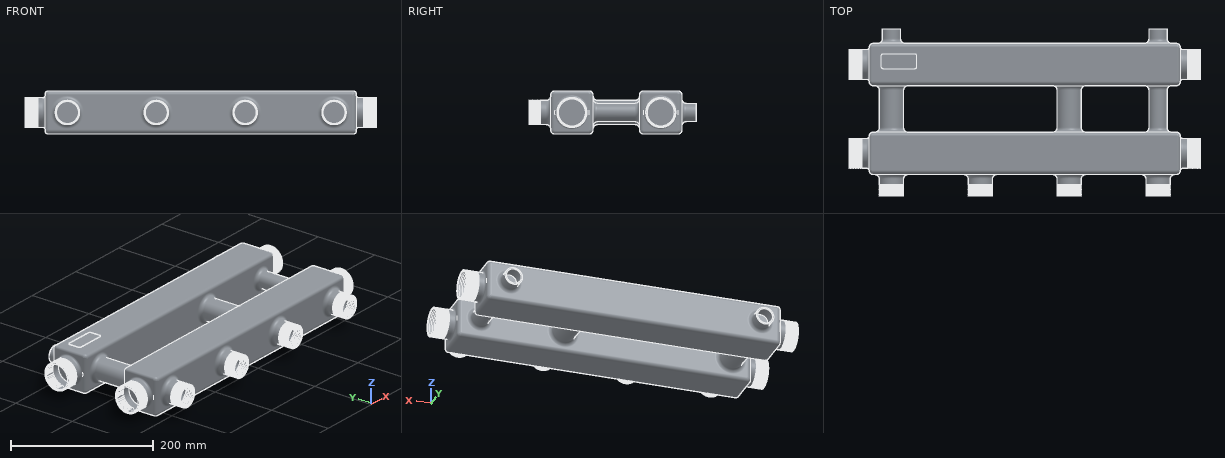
import cadquery as cq
import math

overall_length = 495.0
box_length = 438.0
box_width = 60.0
box_height = 61.0
side_edge_radius = 6.0
cross_edge_radius = 4.5
header_spacing = 125.0
front_header_y = 0.0
rear_header_y = front_header_y + header_spacing

end_pipe_diameter = 42.4
end_pipe_bore = 38.0
end_pipe_length = (overall_length - box_length) / 2
outlet_diameter = 34.5
outlet_bore = 31.0
outlet_length = 30.0
small_pipe_diameter = 26.0
small_pipe_bore = 22.0
small_pipe_length = 20.0
crossover_length = header_spacing - box_width

end_pipe_weld = 3.0
side_pipe_weld = 6.0
root_overlap = 1.0

outlet_count = 4
outlet_spacing = 125.0
outlet_stations = [
    (index - (outlet_count - 1) / 2) * outlet_spacing for index in range(outlet_count)
]
left_station = outlet_stations[0]
inner_station = outlet_stations[2]
right_station = outlet_stations[3]

thread_pitch = 2.309
thread_depth = 0.7
end_thread_turns = 8
outlet_thread_turns = 7

plate_length = 50.0
plate_width = 21.0
plate_depth = 0.5
plate_corner_radius = 3.0
plate_x = -177.0
plate_y = rear_header_y + 4.5


def header(y):
    """Box with rounded edges, centred at the given Y."""
    body = cq.Workplane("XY").box(box_length, box_width, box_height)
    body = body.edges("|X or |Z").fillet(side_edge_radius)
    body = body.edges("|Y").fillet(cross_edge_radius)
    return body.translate((0, y, 0))


def revolve_profile(outline):
    """Close an outline and turn it about its local x axis."""
    return outline.close().revolve(360, (0, 0, 0), (1, 0, 0))


def pipe_outline(start, direction, radius, weld):
    """Begin a pipe outline in (distance, radius) coordinates, up to the end of its root fillet."""
    dx, dy, _ = direction
    plane = cq.Plane(origin=start, xDir=direction, normal=(dy, -dx, 0))
    arc_middle = weld * (1 - math.sqrt(0.5))
    return (
        cq.Workplane(plane)
        .moveTo(-root_overlap, 0)
        .lineTo(-root_overlap, radius + weld)
        .lineTo(0, radius + weld)
        .threePointArc((arc_middle, radius + arc_middle), (weld, radius))
    )


def end_branch(start, direction, diameter, length, weld, thread_turns=0):
    """Solid pipe standing on a box face, optionally threaded at its tip."""
    radius = diameter / 2
    outline = pipe_outline(start, direction, radius, weld)
    thread_start = length - thread_turns * thread_pitch
    for turn in range(thread_turns):
        crest = thread_start + turn * thread_pitch
        outline = outline.lineTo(crest, radius)
        outline = outline.lineTo(crest + thread_pitch / 2, radius - thread_depth)
    return revolve_profile(outline.lineTo(length, radius).lineTo(length, 0))


def crossover(x, diameter):
    """Pipe joining the two headers, with a root fillet at both ends."""
    radius = diameter / 2
    weld = side_pipe_weld
    far_arc_start = crossover_length - weld
    arc_middle = weld * (1 - math.sqrt(0.5))
    far_end = crossover_length + root_overlap
    start = (x, front_header_y + box_width / 2, 0)
    outline = (
        pipe_outline(start, (0, 1, 0), radius, weld)
        .lineTo(far_arc_start, radius)
        .threePointArc(
            (crossover_length - arc_middle, radius + arc_middle),
            (crossover_length, radius + weld),
        )
        .lineTo(far_end, radius + weld)
        .lineTo(far_end, 0)
    )
    return revolve_profile(outline)


def bore(start, direction, diameter, length):
    """Cutter for a blind bore that stops at the box face."""
    plane = cq.Plane(origin=start, xDir=(0, 0, 1), normal=direction)
    return cq.Workplane(plane).circle(diameter / 2).extrude(length)


def name_plate_recess():
    """Cutter for the round-cornered recess in the top face."""
    plate = cq.Workplane("XY").box(plate_length, plate_width, plate_depth)
    plate = plate.edges("|Z").fillet(plate_corner_radius)
    return plate.translate((plate_x, plate_y, box_height / 2 - plate_depth / 2))


additions = [header(rear_header_y)]
cutters = [name_plate_recess()]

for header_y in (front_header_y, rear_header_y):
    for side in (-1, 1):
        start = (side * box_length / 2, header_y, 0)
        direction = (side, 0, 0)
        additions.append(
            end_branch(
                start, direction, end_pipe_diameter, end_pipe_length, end_pipe_weld, end_thread_turns
            )
        )
        cutters.append(bore(start, direction, end_pipe_bore, end_pipe_length))

for x in outlet_stations:
    start = (x, front_header_y - box_width / 2, 0)
    direction = (0, -1, 0)
    additions.append(
        end_branch(
            start, direction, outlet_diameter, outlet_length, side_pipe_weld, outlet_thread_turns
        )
    )
    cutters.append(bore(start, direction, outlet_bore, outlet_length))

for x in (left_station, right_station):
    start = (x, rear_header_y + box_width / 2, 0)
    direction = (0, 1, 0)
    additions.append(
        end_branch(start, direction, small_pipe_diameter, small_pipe_length, side_pipe_weld)
    )
    cutters.append(bore(start, direction, small_pipe_bore, small_pipe_length))

additions.append(crossover(left_station, outlet_diameter))
additions.append(crossover(inner_station, outlet_diameter))
additions.append(crossover(right_station, small_pipe_diameter))

result = header(front_header_y)
for addition in additions:
    result = result.union(addition)
for cutter in cutters:
    result = result.cut(cutter)